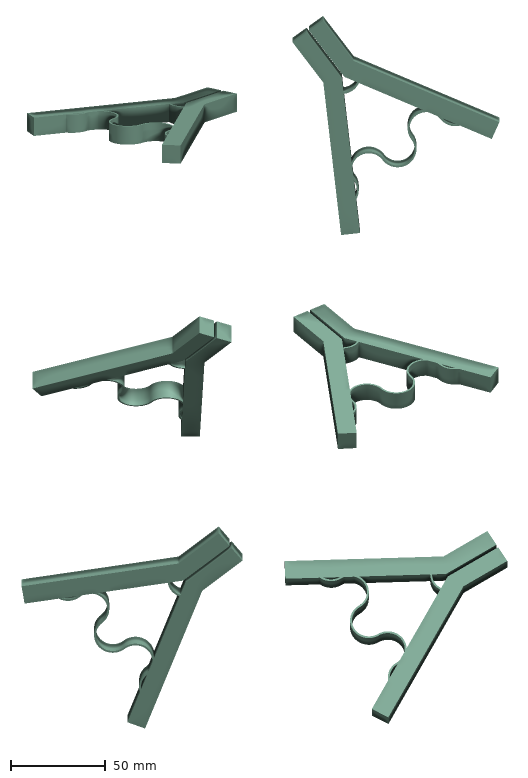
import cadquery as cq
import math

total_length = 105.0
total_width = 104.0
bar_size = 10.0
arm_length = 100.0
arm_angle = 30.0
jaw_length = 30.0
slot_width = 1.7

strip_thickness = 1.0
outer_radius = 10.0
wave_center_y = 25.1
clip_center_y = 75.0
clip_half_angle = 45.0

inner_radius = outer_radius - strip_thickness
bend_radius = outer_radius - strip_thickness / 2


def arm(side):
    """Inclined bar whose inner foot corner rests on Y = 0; side is -1 or 1."""
    angle = math.radians(arm_angle)
    across = (bar_size * math.cos(angle), bar_size * math.sin(angle))
    along = (-arm_length * math.sin(angle), arm_length * math.cos(angle))
    outer_foot = (total_width / 2, across[1])
    inner_foot = (outer_foot[0] - across[0], 0)
    inner_end = (inner_foot[0] + along[0], inner_foot[1] + along[1])
    outer_end = (outer_foot[0] + along[0], outer_foot[1] + along[1])
    corners = [outer_foot, inner_foot, inner_end, outer_end]
    return (
        cq.Workplane("XY")
        .polyline([(side * x, y) for x, y in corners])
        .close()
        .extrude(bar_size)
    )


def strip_arc(center_x, center_y, start_angle, end_angle):
    """Strip bent about a vertical axis, between two angles from +X in degrees."""

    def point(radius, degrees):
        angle = math.radians(degrees)
        return (center_x + radius * math.cos(angle), center_y + radius * math.sin(angle))

    middle_angle = (start_angle + end_angle) / 2
    return (
        cq.Workplane("XY")
        .moveTo(*point(outer_radius, start_angle))
        .threePointArc(point(outer_radius, middle_angle), point(outer_radius, end_angle))
        .lineTo(*point(inner_radius, end_angle))
        .threePointArc(point(inner_radius, middle_angle), point(inner_radius, start_angle))
        .close()
        .extrude(bar_size)
    )


jaws = cq.Workplane("XY").box(2 * bar_size, jaw_length, bar_size, centered=(True, False, False))
body = jaws.translate((0, total_length - jaw_length, 0))
for side in (-1, 1):
    body = body.union(arm(side))

slot = cq.Workplane("XY").box(slot_width, total_length, bar_size, centered=(True, False, False))
body = body.cut(slot)

pitch = 2 * bend_radius
body = body.union(strip_arc(0, wave_center_y, 180, 360))
for side in (-1, 1):
    body = body.union(strip_arc(side * pitch, wave_center_y, 0, 180))
body = body.union(strip_arc(-2 * pitch, wave_center_y, 270, 360))
body = body.union(strip_arc(2 * pitch, wave_center_y, 180, 270))

clip = strip_arc(0, clip_center_y, 270 - clip_half_angle, 270 + clip_half_angle)
result = body.union(clip)